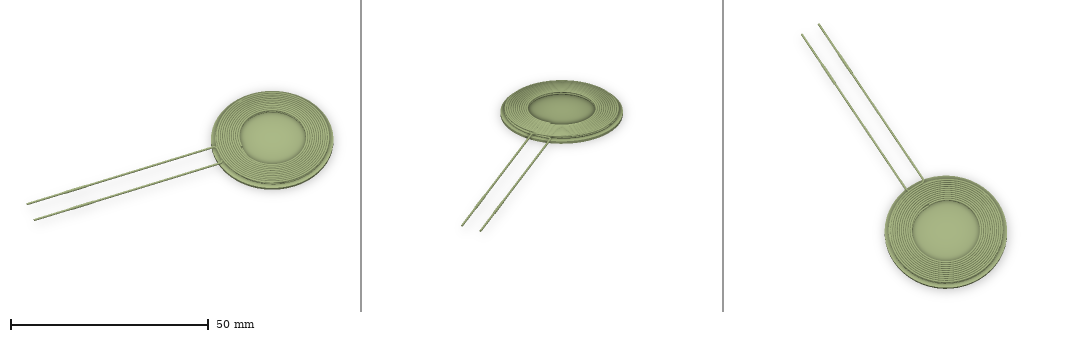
import cadquery as cq

base_diameter = 31.0
overall_length = 81.0
overall_height = 1.84

wire_diameter = 0.54
sleeve_diameter = 0.7
sleeve_length = 6.0
bare_tip_length = 10.0

coil_diameter = 29.0
turn_count = 11
turn_pitch = 0.545
layer_pitch = turn_pitch
bed_depth = 0.02
web_thickness = 0.06
film_thickness = 0.04

lead_spacing = 5.0
lead_bend_radius = 0.95

step_angle = 90
concentric_angle = 360 - step_angle

base_radius = base_diameter / 2
wire_radius = wire_diameter / 2
outer_turn_radius = coil_diameter / 2 - wire_radius
inner_turn_radius = outer_turn_radius - (turn_count - 1) * turn_pitch
lead_x = -lead_spacing / 2
lead_end_y = base_radius - overall_length
upper_layer_z = overall_height - sleeve_diameter / 2
lower_layer_z = upper_layer_z - layer_pitch
base_thickness = lower_layer_z - wire_radius + bed_depth


def winding_section(shift):
    """Cross-section of all turns joined by the varnish web, moved inward by `shift`."""
    centres = [(outer_turn_radius - shift - i * turn_pitch, 0) for i in range(turn_count)]
    web_length = outer_turn_radius - inner_turn_radius
    web_centre = (outer_turn_radius + inner_turn_radius) / 2 - shift
    return (
        cq.Sketch()
        .push(centres)
        .circle(wire_radius)
        .reset()
        .push([(web_centre, 0)])
        .rect(web_length, web_thickness)
        .clean()
    )


def concentric_turns():
    """Three quarters of the winding, from -Y round through +X and +Y to -X."""
    start_plane = cq.Plane(origin=(0, 0, 0), xDir=(0, -1, 0), normal=(-1, 0, 0))
    return cq.Workplane(start_plane).placeSketch(winding_section(0)).revolve(concentric_angle, (0, 0), (0, 1))


def step_in_turns():
    """Last quarter: each turn moves inward by one pitch about a shifted centre, then runs straight."""
    arc_plane = cq.Plane(origin=(-turn_pitch, 0, 0), xDir=(-1, 0, 0), normal=(0, 1, 0))
    arc = cq.Workplane(arc_plane).placeSketch(winding_section(turn_pitch)).revolve(step_angle, (0, 0), (0, 1))
    straight_plane = cq.Plane(origin=(-turn_pitch, 0, 0), xDir=(0, -1, 0), normal=(1, 0, 0))
    straight = cq.Workplane(straight_plane).placeSketch(winding_section(turn_pitch)).extrude(turn_pitch)
    return arc.union(straight)


def lead():
    """Wire leaving the outermost turn at -Y, bending towards -Y into a straight, sleeved lead."""
    bend_x = lead_x + lead_bend_radius
    bend_end_y = -outer_turn_radius - lead_bend_radius
    path = (
        cq.Workplane("XY")
        .moveTo(0, -outer_turn_radius)
        .lineTo(bend_x, -outer_turn_radius)
        .tangentArcPoint((lead_x, bend_end_y), relative=False)
        .lineTo(lead_x, lead_end_y)
    )
    start = cq.Workplane("YZ").center(-outer_turn_radius, 0)
    wire = start.circle(wire_radius).sweep(path)
    sleeve_plane = cq.Plane(
        origin=(lead_x, lead_end_y + bare_tip_length, 0), xDir=(1, 0, 0), normal=(0, 1, 0)
    )
    sleeve = cq.Workplane(sleeve_plane).circle(sleeve_diameter / 2).extrude(sleeve_length)
    return wire.union(sleeve)


def coil_layer():
    """Upper layer with its wire centres at Z = 0; the lower layer is its mirror image."""
    return concentric_turns().union(step_in_turns()).union(lead())


def base_disc():
    return cq.Workplane("XY").circle(base_radius).extrude(base_thickness)


def layer_film():
    """Thin ring midway between the layers, reaching between the outer and inner wire centres."""
    film_z = (upper_layer_z + lower_layer_z - film_thickness) / 2
    ring = cq.Workplane("XY").circle(outer_turn_radius).circle(inner_turn_radius)
    return ring.extrude(film_thickness).translate((0, 0, film_z))


layer = coil_layer()
upper_layer = layer.translate((0, 0, upper_layer_z))
lower_layer = layer.mirror("YZ").translate((0, 0, lower_layer_z))
result = base_disc().union(lower_layer).union(layer_film()).union(upper_layer)